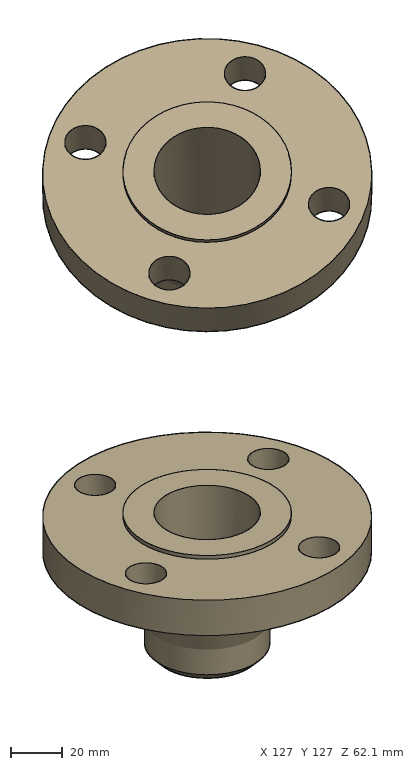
import cadquery as cq

flange_diameter = 127.0
total_height = 62.1
flange_thickness = 15.9
raised_face_diameter = 65.0
raised_face_height = 1.7
bore_diameter = 41.0

hub_diameter = 65.0
pipe_diameter = 48.5
pipe_height = 14.9
bevel_height = 3.7
weld_end_diameter = 41.5

bolt_hole_diameter = 15.9
bolt_circle_diameter = 98.4
bolt_count = 4
first_bolt_angle = 45.0

flange_top = total_height - raised_face_height
flange_bottom = flange_top - flange_thickness


def make_body():
    """Revolve the half section, bore included, around Z."""
    return (
        cq.Workplane("XZ")
        .moveTo(bore_diameter / 2, 0)
        .lineTo(weld_end_diameter / 2, 0)
        .lineTo(pipe_diameter / 2, bevel_height)
        .lineTo(pipe_diameter / 2, pipe_height)
        .lineTo(hub_diameter / 2, flange_bottom)
        .lineTo(flange_diameter / 2, flange_bottom)
        .lineTo(flange_diameter / 2, flange_top)
        .lineTo(raised_face_diameter / 2, flange_top)
        .lineTo(raised_face_diameter / 2, total_height)
        .lineTo(bore_diameter / 2, total_height)
        .close()
        .revolve(360, (0, 0, 0), (0, 1, 0))
    )


def make_bolt_holes():
    """Cylinders that cut the bolt holes through the flange."""
    return (
        cq.Workplane("XY", origin=(0, 0, flange_bottom))
        .polarArray(bolt_circle_diameter / 2, first_bolt_angle, 360, bolt_count)
        .circle(bolt_hole_diameter / 2)
        .extrude(flange_thickness)
    )


result = make_body().cut(make_bolt_holes())